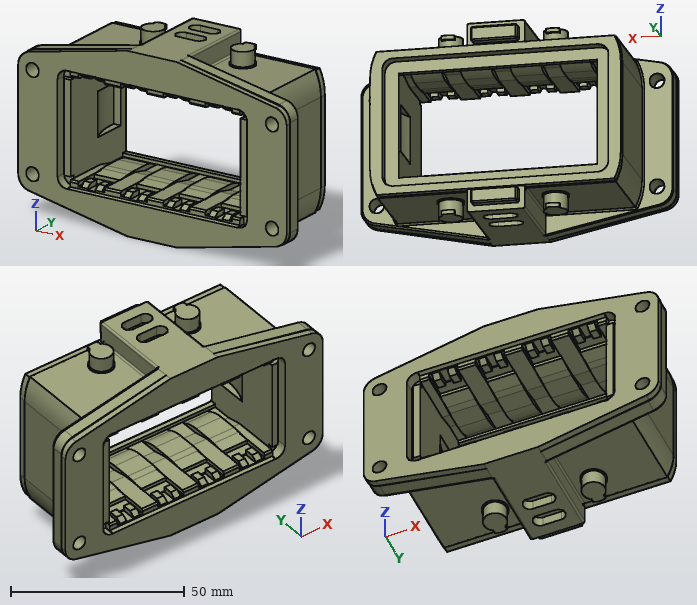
import cadquery as cq
import math


overlap = 0.9

flange_width = 93
flange_height = 57.0
flange_depth = 6.5
front_band_depth = 2.0
rear_band_inset = 0.3
front_side_height = 20.55
rear_side_height = 20.9
flange_corner_radius = 4.8
flange_edge_depth = 0.6
flange_edge_inset = 0.23
mount_hole_diameter = 4.4
mount_hole_x = 41.5
mount_hole_z = 16.0

body_half_width = 37.2
body_half_height = 22.0
body_flat_half_width = 35.25
body_side_half_height = 13.95
body_rear = 34.2
rear_lip_start = 32.0
lip_top_inset = 0.4
lip_side_inset = 0.1
body_foot = 0.6
foot_edge = 0.01

strap_width = 17.1
strap_rear = 33.4
strap_edge_radius = 0.65
strap_root_radius = 0.6
latch_width = 13.8
latch_rear = 36.3
latch_bottom = 22.3
latch_top = 26.7
latch_edge = 0.5
slot_length = 10.0
slot_width = 4.2
slot_depth = 3.3
slot_positions = (20.1, 27.3)

peg_x = 15.5
peg_y = 23.9
peg_radius = 3.5
peg_top = 27.1
peg_foot_radius = 3.9
peg_foot_height = 0.4
hook_radius = 4.6
hook_half_width = 1.95
hook_thickness = 1.2

mouth_half_width = 32.8
mouth_half_height = 18.1
mouth_corner_radius = 3.3
mouth_depth = 1.7
corner_pocket_depth = 3.35
side_block_half_height = 14.9
side_block_face = 31.5
bore_half_width = 29.4
bore_half_height = 15.8
bore_rear = 30.7
rear_recess_half_width = 33.5
rear_recess_half_height = 19.3
land_chamfer = 0.6
sill_rise = 0.3

relief_half_height = 7.1
relief_start = 15.9
relief_bend = (31.2, 20.55)
relief_end = (31.8, 27.9)

cell_pitch = 14.7
cell_count = 4
tongue_width = 9.1
tongue_top = 15.25
pocket_floor = 17.2
channel_floor = 17.6
pocket_front = 1.4
step_y = 9.8
step_top = 16.0
ramp_end = (13.95, 15.4)
tongue_flat_start_y = 16.3
tongue_flat_end_y = 22.4
tongue_rear_edge = (27.4, 16.5)
dip_floor = 16.9
dip_start_y = 17.3
dip_flat_y = 22.7
dip_end_y = 28.8
clip_inner = 1.3
clip_outer = 3.6
clip_crest_y = 3.3
clip_rear_y = 6.2
clip_crest = 15.9


def xz_plane(y):
    """Sketch plane parallel to the flange face whose extrusions run to the rear."""
    return cq.Workplane(cq.Plane(origin=(0, y, 0), xDir=(1, 0, 0), normal=(0, -1, 0)))


def plate(sketch, depth):
    return sketch.extrude(-depth)


def mirrored(shape, plane):
    return shape.union(shape.mirror(plane))


def span(x_range, y_range, z_range):
    """Block between two limits on each axis."""
    limits = (x_range, y_range, z_range)
    size = [high - low for low, high in limits]
    corner = [low for low, high in limits]
    return cq.Workplane("XY").box(*size, centered=False).translate(tuple(corner))


def yz_prism(sketch, x_low, x_high):
    return sketch(cq.Workplane("YZ", origin=(x_low, 0, 0))).close().extrude(x_high - x_low)


def flange_band(half_width, side_height, y_start, depth):
    peak = flange_height / 2
    shoulder = strap_width / 2
    outline = xz_plane(y_start).polyline([
        (shoulder, peak), (half_width, side_height), (half_width, -side_height), (shoulder, -peak),
        (-shoulder, -peak), (-half_width, -side_height), (-half_width, side_height), (-shoulder, peak),
    ]).close()
    band = plate(outline, depth)
    return band.faces("<X or >X").edges("|Y").fillet(flange_corner_radius)


def make_flange():
    front = flange_band(flange_width / 2, front_side_height, 0, front_band_depth)
    rear_half_width = flange_width / 2 - rear_band_inset
    rear = flange_band(rear_half_width, rear_side_height, front_band_depth, flange_depth - front_band_depth)
    rear = rear.faces(">Y").chamfer(flange_edge_inset, flange_edge_depth)
    half_strap = strap_width / 2
    foot = span((-half_strap, half_strap), (0, flange_depth), (-flange_height / 2, flange_height / 2))
    return front.union(rear).union(foot)


def body_sketch(y, top_inset, side_inset):
    """Flat top and sides joined by arcs that are tangent to the sides."""
    top = body_half_height - top_inset
    side = body_side_half_height
    wide = body_half_width - side_inset
    flat = body_flat_half_width
    rise = top - side
    run = wide - flat
    radius = (rise ** 2 + run ** 2) / (2 * run)
    half_angle = math.asin(rise / radius) / 2
    mid_x = wide - radius * (1 - math.cos(half_angle))
    mid_z = side + radius * math.sin(half_angle)
    return (
        xz_plane(y).moveTo(-flat, top).lineTo(flat, top)
        .threePointArc((mid_x, mid_z), (wide, side)).lineTo(wide, -side)
        .threePointArc((mid_x, -mid_z), (flat, -top)).lineTo(-flat, -top)
        .threePointArc((-mid_x, -mid_z), (-wide, -side)).lineTo(-wide, side)
        .threePointArc((-mid_x, mid_z), (-flat, top)).close()
    )


def make_body():
    main = plate(body_sketch(0, 0, 0), rear_lip_start)
    lip = plate(body_sketch(rear_lip_start, lip_top_inset, lip_side_inset), body_rear - rear_lip_start)
    foot = plate(body_sketch(flange_depth, 0, 0).offset2D(body_foot, "intersection"), body_foot)
    foot = foot.faces(">Y").chamfer(body_foot - foot_edge)
    return main.union(lip).union(foot)


def make_strap():
    half = strap_width / 2
    top = flange_height / 2
    edge = strap_edge_radius
    root = strap_root_radius
    base = body_half_height
    start = flange_depth - flange_edge_depth
    outline = (
        xz_plane(start).moveTo(-half - root, base - overlap).lineTo(-half - root, base)
        .radiusArc((-half, base + root), -root).lineTo(-half, top - edge)
        .radiusArc((-half + edge, top), edge).lineTo(half - edge, top)
        .radiusArc((half, top - edge), edge).lineTo(half, base + root)
        .radiusArc((half + root, base), -root).lineTo(half + root, base - overlap).close()
    )
    strap = plate(outline, rear_lip_start - start)
    strap = strap.union(span((-half, half), (rear_lip_start, strap_rear), (base - overlap, top))
                        .edges("|Y and >Z").fillet(edge))
    latch = span((-latch_width / 2, latch_width / 2), (strap_rear - overlap, latch_rear),
                 (latch_bottom, latch_top))
    latch = latch.edges("|Y or >Y").chamfer(latch_edge)
    slots = (
        cq.Workplane("XY", origin=(0, 0, top)).pushPoints([(0, y) for y in slot_positions])
        .slot2D(slot_length, slot_width).extrude(-slot_depth)
    )
    return strap.union(latch).cut(slots)


def make_peg():
    """Round peg with a hook at its outer end that reaches to the rear."""
    base = body_half_height
    sketch = cq.Workplane("XY", origin=(peg_x, peg_y, base))
    peg = sketch.circle(peg_radius).extrude(peg_top - base)
    foot = sketch.circle(peg_foot_radius).extrude(peg_foot_height)
    hook_base = sketch.workplane(offset=peg_top - base - hook_thickness)
    hook = hook_base.circle(hook_radius).extrude(hook_thickness)
    hook = hook.intersect(span(
        (peg_x - hook_half_width, peg_x + hook_half_width), (peg_y, peg_y + hook_radius), (base, peg_top)))
    return peg.union(foot).union(hook)


def make_side_block():
    """Step in front of the bore whose outer flank falls away to the mouth wall."""
    block = (
        cq.Workplane("XY", origin=(0, 0, -side_block_half_height))
        .polyline([(bore_half_width, mouth_depth), (side_block_face, mouth_depth),
                   (mouth_half_width, corner_pocket_depth), (bore_half_width, corner_pocket_depth)])
        .close().extrude(2 * side_block_half_height)
    )
    return mirrored(block, "YZ")


def make_lands():
    """Upper and lower wall fronts, with a beveled edge towards the bore."""
    def profile(sketch):
        return sketch.polyline([
            (0, -mouth_half_height), (pocket_front, -mouth_half_height + sill_rise),
            (pocket_front, -bore_half_height - land_chamfer),
            (pocket_front + land_chamfer, -bore_half_height),
            (corner_pocket_depth, -bore_half_height), (corner_pocket_depth, -mouth_half_height)])
    return mirrored(yz_prism(profile, -bore_half_width, bore_half_width), "XY")


def make_opening():
    def rounded_recess(half_width, half_height, y, depth):
        sketch = xz_plane(y).rect(2 * half_width, 2 * half_height)
        return plate(sketch, depth).edges("|Y").fillet(mouth_corner_radius)

    front = rounded_recess(mouth_half_width, mouth_half_height, 0, corner_pocket_depth)
    front = front.cut(make_side_block()).cut(make_lands())
    rear = rounded_recess(rear_recess_half_width, rear_recess_half_height, bore_rear, body_rear - bore_rear)
    bore = span((-bore_half_width, bore_half_width), (mouth_depth, bore_rear),
                (-bore_half_height, bore_half_height))
    relief = (
        cq.Workplane("XY", origin=(0, 0, -relief_half_height))
        .moveTo(bore_half_width - overlap, relief_start).lineTo(bore_half_width, relief_start)
        .spline([relief_bend, relief_end], includeCurrent=True)
        .lineTo(bore_half_width - overlap, relief_end[1]).close().extrude(2 * relief_half_height)
    )
    return front.union(rear).union(bore).union(mirrored(relief, "YZ"))


def make_floor_cuts(cell_positions):
    """Dip across the lower wall and a recess for each tongue and its clips."""
    def dip(sketch):
        return sketch.polyline([
            (dip_start_y, -bore_half_height), (dip_flat_y, -dip_floor),
            (dip_end_y, -dip_floor), (dip_end_y, -bore_half_height)])

    cuts = yz_prism(dip, -bore_half_width, bore_half_width)
    for x in cell_positions:
        cuts = cuts.union(span((x - tongue_width / 2, x + tongue_width / 2),
                               (pocket_front, dip_end_y), (-pocket_floor, -bore_half_height)))
        cuts = cuts.union(span((x - clip_inner, x + clip_inner),
                               (pocket_front, clip_rear_y), (-channel_floor, -bore_half_height)))
    return cuts


def make_cell(x):
    """Spring tongue with a pair of clips in front of it."""
    root = -channel_floor - overlap

    def tongue(sketch):
        ramp_y, ramp_depth = ramp_end
        rear_y, rear_depth = tongue_rear_edge
        return (
            sketch.moveTo(step_y, root).lineTo(step_y, -step_top).lineTo(ramp_y, -ramp_depth)
            .lineTo(tongue_flat_start_y, -tongue_top).lineTo(tongue_flat_end_y, -tongue_top)
            .tangentArcPoint((rear_y, -rear_depth), relative=False)
            .lineTo(dip_end_y, -dip_floor).lineTo(dip_end_y, root)
        )

    def clip(sketch):
        return sketch.polyline([
            (pocket_front, root), (pocket_front, -pocket_floor), (clip_crest_y, -clip_crest),
            (clip_rear_y, -clip_crest), (clip_rear_y, root)])

    cell = yz_prism(tongue, -tongue_width / 2, tongue_width / 2)
    cell = cell.union(mirrored(yz_prism(clip, clip_inner, clip_outer), "YZ"))
    return cell.translate((x, 0, 0))


part = make_flange().union(make_body())
part = part.union(mirrored(make_strap(), "XY"))
part = part.union(mirrored(mirrored(make_peg(), "YZ"), "XY"))

hole_points = [(x, z) for x in (-mount_hole_x, mount_hole_x) for z in (-mount_hole_z, mount_hole_z)]
holes = xz_plane(0).pushPoints(hole_points).circle(mount_hole_diameter / 2)
part = part.cut(plate(holes, flange_depth))

cells = [(i - (cell_count - 1) / 2) * cell_pitch for i in range(cell_count)]
part = part.cut(make_opening())
part = part.cut(mirrored(make_floor_cuts(cells), "XY"))
for cell_x in cells:
    part = part.union(mirrored(make_cell(cell_x), "XY"))

result = part